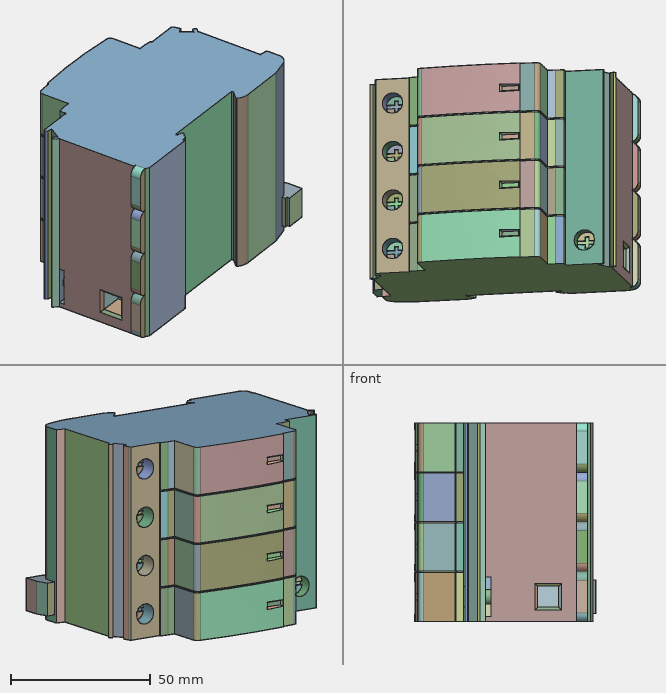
import cadquery as cq


modules = 4
total_width = 71.2
pitch = total_width / modules
lower_module_z = pitch / 2

cover_half_height = 28.5
neck_half_height = 22.5
shoulder_x = 14.5
shoulder_bend = 25.35
shoulder_slope = 0.4
cover_front_sag = 1.1
cover_step_y = -15.5
cover_step_x = (0.6, 1.1)
cover_lower_x = 1.5
cover_corner_radius = 1.8
cover_back_x = 19.5
divider_width = 0.5
divider_depth = 0.3

window_length = 7.4
window_height = 2.9
window_depth = 1.5
window_draft = 25.0

upper_front_x = 15.5
lower_front_x = 17.55
case_half_height = 43.8
rail_seat_x = 57.9
rail_half_height = 17.55

screw_diameter = 7.4
screw_head_x = 21.7
upper_screw_y = 34.7
lower_screw_y = -35.3
drive_depth = 1.0
drive_slot_width = 1.4
drive_cross_length = 4.2

entry_x = 47.9
entry_size = 7.5
entry_chamfer = 1.02
entry_depth = 9.75

recess_x = 25.35
recess_width = 2.0
recess_height = 14.1
recess_depth = 4.9
contact_radius = 2.6

bump_x = (57.9, 62.0)
bump_base_y = -42.7
bump_end_y = -45.8
bump_radius = 3.0

latch_width = 12.1
latch_end_x = 64.9
latch_end_y = 51.7
latch_root_y = 39.0


def make_case():
    outline = (
        cq.Workplane("XY")
        .moveTo(upper_front_x, cover_half_height)
        .lineTo(upper_front_x, 40.9)
        .lineTo(16.2, 41.2)
        .lineTo(18.9, 41.8)
        .lineTo(19.3, 40.4)
        .lineTo(19.8, 40.0)
        .lineTo(24.0, 42.7)
        .lineTo(22.9, 43.5)
        .threePointArc((23.3, 44.85), (24.2, 44.7))
        .lineTo(25.0, case_half_height)
        .lineTo(52.2, case_half_height)
        .lineTo(52.7, 47.1)
        .lineTo(58.5, 47.1)
        .threePointArc((60.8, 46.0), (62.2, 43.9))
        .lineTo(63.9, 36.8)
        .lineTo(64.0, 18.9)
        .threePointArc((63.4, 16.6), (62.1, 14.7))
        .lineTo(61.6, 14.8)
        .lineTo(58.7, rail_half_height)
        .lineTo(rail_seat_x, rail_half_height)
        .lineTo(rail_seat_x, -rail_half_height)
        .lineTo(58.6, -rail_half_height)
        .lineTo(59.3, -15.4)
        .lineTo(59.9, -15.4)
        .lineTo(62.0, -17.5)
        .lineTo(62.0, -18.9)
        .lineTo(63.0, -18.9)
        .lineTo(63.0, -41.5)
        .lineTo(bump_x[1], bump_base_y)
        .lineTo(bump_x[0], bump_base_y)
        .lineTo(bump_x[0], -case_half_height)
        .lineTo(recess_x, -case_half_height)
        .lineTo(23.4, -45.5)
        .lineTo(22.6, -44.9)
        .lineTo(22.9, -44.6)
        .lineTo(23.0, -43.9)
        .lineTo(24.2, -43.1)
        .lineTo(19.4, -40.1)
        .lineTo(19.0, -41.8)
        .lineTo(18.1, -42.4)
        .lineTo(lower_front_x, -42.2)
        .lineTo(lower_front_x, -cover_half_height)
        .close()
    )
    return outline.extrude(total_width)


def cover_outline():
    shoulder_end_x = shoulder_x + shoulder_slope
    corner_y = neck_half_height - cover_corner_radius
    return (
        cq.Workplane("XY")
        .moveTo(cover_back_x, cover_half_height)
        .lineTo(shoulder_end_x, cover_half_height)
        .lineTo(shoulder_x, shoulder_bend)
        .lineTo(shoulder_x, neck_half_height)
        .lineTo(cover_front_sag + cover_corner_radius, neck_half_height)
        .radiusArc((cover_front_sag, corner_y), -cover_corner_radius)
        .threePointArc((0, 0), (cover_step_x[0], cover_step_y))
        .lineTo(cover_step_x[1], cover_step_y)
        .lineTo(cover_lower_x, -corner_y)
        .radiusArc((cover_lower_x + cover_corner_radius, -neck_half_height), -cover_corner_radius)
        .lineTo(shoulder_x, -neck_half_height)
        .lineTo(shoulder_x, -shoulder_bend)
        .lineTo(shoulder_end_x, -cover_half_height)
        .lineTo(cover_back_x, -cover_half_height)
        .close()
    )


def make_cover():
    cover = cover_outline().extrude(total_width)
    divider = cover_outline().extrude(divider_width)
    divider = divider.cut(cover_outline().offset2D(-divider_depth).extrude(divider_width))
    for module in range(1, modules):
        cover = cover.cut(divider.translate((0, 0, module * pitch - divider_width / 2)))
    return cover


def make_window(z):
    return (
        cq.Workplane("YZ")
        .center(cover_step_y + window_length / 2, z)
        .rect(window_length, window_height)
        .extrude(window_depth, taper=window_draft)
    )


def make_screw(front_x, y, z):
    well = cq.Workplane("YZ", origin=(front_x, y, z)).circle(screw_diameter / 2)
    well = well.extrude(screw_head_x - front_x)
    floor = cq.Workplane("YZ", origin=(screw_head_x, y, z))
    slot = floor.rect(screw_diameter, drive_slot_width).extrude(drive_depth)
    slot = slot.intersect(floor.circle(screw_diameter / 2).extrude(drive_depth))
    cross = floor.rect(drive_slot_width, drive_cross_length).extrude(drive_depth)
    return well.union(slot).union(cross)


def make_cable_entry(z):
    mouth_size = entry_size + 2 * entry_chamfer
    face = cq.Workplane("XZ", origin=(entry_x, -case_half_height, z))
    mouth = (
        face.rect(mouth_size, mouth_size)
        .workplane(offset=-entry_chamfer)
        .rect(entry_size, entry_size)
        .loft()
    )
    return mouth.union(face.rect(entry_size, entry_size).extrude(-entry_depth))


def make_contact_recess(z):
    slot = cq.Workplane("XY").box(recess_width, recess_depth, recess_height, centered=(False, False, True))
    contact = cq.Workplane("YZ").center(recess_depth, 0).circle(contact_radius).extrude(recess_width)
    return slot.cut(contact).translate((recess_x, -case_half_height, z))


def make_bump(z):
    length_x = bump_x[1] - bump_x[0]
    length_y = bump_base_y - bump_end_y
    return (
        cq.Workplane("XY")
        .box(length_x, length_y, pitch, centered=(False, False, True))
        .edges("|X and <Y")
        .fillet(bump_radius)
        .translate((bump_x[0], bump_end_y, z))
    )


def make_latch(z):
    return (
        cq.Workplane("XY", origin=(0, 0, z - latch_width / 2))
        .moveTo(53.8, latch_root_y)
        .lineTo(53.8, 50.2)
        .lineTo(58.5, latch_end_y)
        .lineTo(latch_end_x, latch_end_y)
        .lineTo(latch_end_x, case_half_height)
        .lineTo(63.9, case_half_height)
        .lineTo(63.9, 42.7)
        .lineTo(61.4, 42.7)
        .lineTo(61.4, latch_root_y)
        .close()
        .extrude(latch_width)
    )


result = make_case().union(make_cover())

for module in range(modules):
    module_z = (module + 0.5) * pitch
    result = result.union(make_bump(module_z))
    result = result.cut(make_window(module_z))
    result = result.cut(make_screw(upper_front_x, upper_screw_y, module_z))

result = result.cut(make_screw(lower_front_x, lower_screw_y, lower_module_z))
result = result.cut(make_cable_entry(lower_module_z))
result = result.cut(make_contact_recess(lower_module_z))
result = result.union(make_latch(lower_module_z))